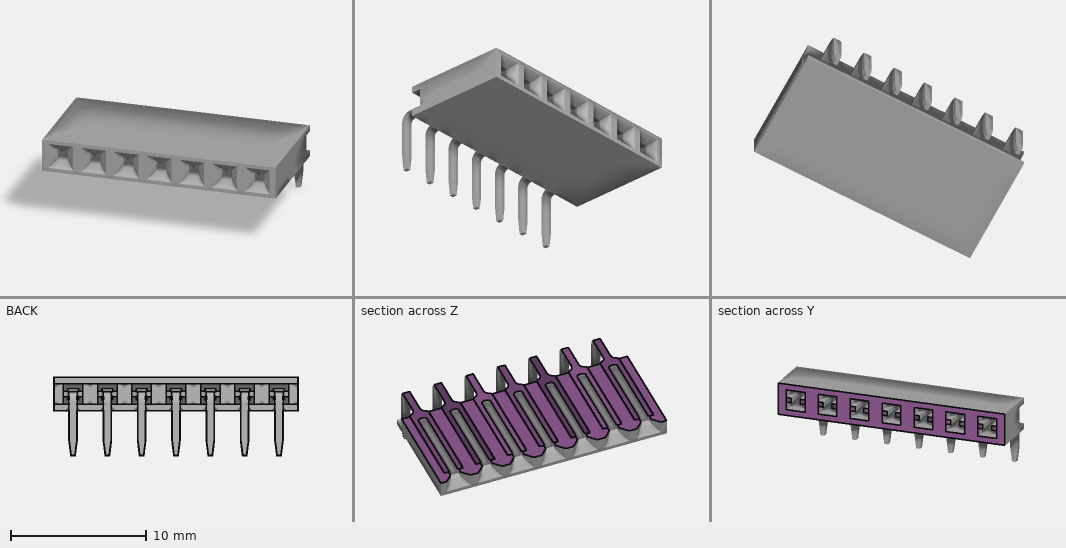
import cadquery as cq
import math

contact_count = 7
housing_length = 18.08
end_allowance = 0.3
pitch = (housing_length - end_allowance) / contact_count
housing_depth = 8.5
housing_height = 2.5
housing_mid_z = housing_height / 2

mouth_side = 1.92
throat_side = 0.78
funnel_depth = 0.58
throat_depth = 0.42

rear_slot_height = 1.52
rear_slot_depth = 0.83

plate_thickness = 0.4
lead_width = 0.6
lead_tip_width = 0.3
lead_taper_length = 1.12
lead_bend_radius = 0.78
lead_overhang = 2.0
lead_drop = 3.3
neck_start_inset = 0.29
neck_fillet_radius = 0.4
fork_gap = 0.65
fork_root_radius = 0.45
fork_base_radius = 1.27
tine_width = plate_thickness
fork_width = fork_gap + 2 * tine_width

fork_front_y = funnel_depth + throat_depth
neck_start_y = housing_depth - neck_start_inset
lead_back_y = housing_depth + lead_overhang


def prism_along_y(width, height, front_y, back_y):
    """Rectangular bar along Y, centred on x = 0 at the mid height of the housing."""
    depth = back_y - front_y
    return cq.Workplane("XY").box(width, depth, height).translate((0, front_y + depth / 2, housing_mid_z))


def make_socket():
    """Funnel, throat and rear cavity of one socket, as one cutting solid."""
    funnel = (
        cq.Workplane("XZ", origin=(0, 0, housing_mid_z))
        .rect(mouth_side, mouth_side)
        .workplane(offset=-funnel_depth)
        .rect(throat_side, throat_side)
        .loft(ruled=True)
    )
    throat = prism_along_y(throat_side, throat_side, funnel_depth, fork_front_y)
    cavity = prism_along_y(fork_width, rear_slot_height, fork_front_y, housing_depth)
    return funnel.union(throat).union(cavity)


def make_housing(contact_xs):
    """Block with a rear slot along its length and a socket at every contact."""
    body = cq.Workplane("XY").box(
        housing_length, housing_depth, housing_height, centered=(True, False, False)
    )
    rear_slot = prism_along_y(
        housing_length, rear_slot_height, housing_depth - rear_slot_depth, housing_depth
    )
    body = body.cut(rear_slot)
    socket = make_socket()
    for x in contact_xs:
        body = body.cut(socket.translate((x, 0, 0)))
    return body


def make_fork():
    """Flat two-tined fork that fits its cavity; the round base runs through fillets into the neck."""
    neck_half = lead_width / 2
    fork_half = fork_width / 2
    gap_half = fork_gap / 2

    fillet_x = neck_half + neck_fillet_radius
    centre_distance = fork_base_radius + neck_fillet_radius
    base_y = neck_start_y - math.sqrt(centre_distance**2 - fillet_x**2)
    touch_ratio = fork_base_radius / centre_distance
    touch_x = fillet_x * touch_ratio
    touch_y = base_y + (neck_start_y - base_y) * touch_ratio

    root_end_y = base_y + math.sqrt(fork_root_radius**2 - gap_half**2)
    base_end_y = base_y + math.sqrt(fork_base_radius**2 - fork_half**2)

    base_angle = (math.acos(touch_x / fork_base_radius) + math.acos(fork_half / fork_base_radius)) / 2
    base_mid_x = fork_base_radius * math.cos(base_angle)
    base_mid_y = base_y + fork_base_radius * math.sin(base_angle)

    fillet_angle = math.pi + math.atan2(neck_start_y - touch_y, fillet_x - touch_x) / 2
    fillet_mid_x = fillet_x + neck_fillet_radius * math.cos(fillet_angle)
    fillet_mid_y = neck_start_y + neck_fillet_radius * math.sin(fillet_angle)

    return (
        cq.Workplane("XY", origin=(0, 0, housing_mid_z - plate_thickness / 2))
        .moveTo(neck_half, neck_start_y)
        .threePointArc((fillet_mid_x, fillet_mid_y), (touch_x, touch_y))
        .threePointArc((base_mid_x, base_mid_y), (fork_half, base_end_y))
        .lineTo(fork_half, fork_front_y)
        .lineTo(gap_half, fork_front_y)
        .lineTo(gap_half, root_end_y)
        .threePointArc((0, base_y + fork_root_radius), (-gap_half, root_end_y))
        .lineTo(-gap_half, fork_front_y)
        .lineTo(-fork_half, fork_front_y)
        .lineTo(-fork_half, base_end_y)
        .threePointArc((-base_mid_x, base_mid_y), (-touch_x, touch_y))
        .threePointArc((-fillet_mid_x, fillet_mid_y), (-neck_half, neck_start_y))
        .close()
        .extrude(plate_thickness)
    )


def make_lead():
    """Bent lead: straight back from the neck, then down to a tapered tip."""
    top_z = housing_mid_z + plate_thickness / 2
    bottom_z = top_z - plate_thickness
    inner_y = lead_back_y - plate_thickness
    bend_start_y = lead_back_y - lead_bend_radius
    bend_end_z = top_z - lead_bend_radius
    strip = (
        cq.Workplane("YZ")
        .moveTo(neck_start_y, top_z)
        .lineTo(bend_start_y, top_z)
        .radiusArc((lead_back_y, bend_end_z), lead_bend_radius)
        .lineTo(lead_back_y, -lead_drop)
        .lineTo(inner_y, -lead_drop)
        .lineTo(inner_y, bend_end_z)
        .radiusArc((bend_start_y, bottom_z), -(lead_bend_radius - plate_thickness))
        .lineTo(neck_start_y, bottom_z)
        .close()
        .extrude(lead_width / 2, both=True)
    )
    taper_start_z = lead_taper_length - lead_drop
    front_outline = (
        cq.Workplane("XZ", origin=(0, neck_start_y, 0))
        .moveTo(lead_width / 2, top_z)
        .lineTo(lead_width / 2, taper_start_z)
        .lineTo(lead_tip_width / 2, -lead_drop)
        .lineTo(-lead_tip_width / 2, -lead_drop)
        .lineTo(-lead_width / 2, taper_start_z)
        .lineTo(-lead_width / 2, top_z)
        .close()
        .extrude(neck_start_y - lead_back_y)
    )
    return strip.intersect(front_outline)


def make_contact():
    """One contact: fork and bent lead in one piece."""
    return make_fork().union(make_lead())


contact_xs = [(i - (contact_count - 1) / 2) * pitch for i in range(contact_count)]
housing = make_housing(contact_xs)
contact = make_contact()
contacts = [contact.translate((x, 0, 0)).val() for x in contact_xs]

result = cq.Compound.makeCompound([housing.val(), *contacts])